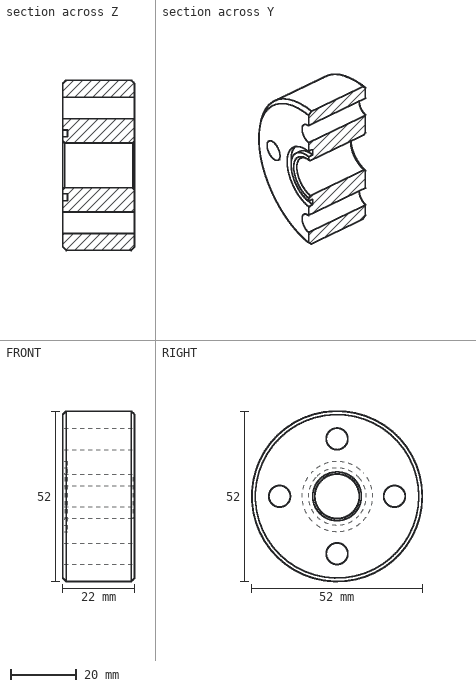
import cadquery as cq

outer_diameter = 52
thickness = 22.0
rim_chamfer = 1.1

bore_diameter = 13.5
bore_chamfer = 0.7

groove_outer_diameter = 21.5
groove_inner_diameter = 17.5
groove_depth = 1.5

bolt_hole_diameter = 6.5
bolt_circle_diameter = 35.0
bolt_hole_count = 4


def make_disc():
    """Disc chamfered on both rims and both bore edges."""
    disc = cq.Workplane("YZ").circle(outer_diameter / 2).extrude(thickness)
    disc = disc.faces("<X or >X").edges().chamfer(rim_chamfer)
    bore = cq.Workplane("YZ").circle(bore_diameter / 2).extrude(thickness)
    disc = disc.cut(bore)
    bore_edges = disc.faces("<X or >X").edges(cq.selectors.RadiusNthSelector(0))
    return bore_edges.chamfer(bore_chamfer)


def make_groove():
    """Ring that cuts the groove into the -X face."""
    return (
        cq.Workplane("YZ")
        .circle(groove_outer_diameter / 2)
        .circle(groove_inner_diameter / 2)
        .extrude(groove_depth)
    )


def make_bolt_holes():
    """Cylinders that cut the bolt holes, the first one on the Y axis."""
    return (
        cq.Workplane("YZ")
        .polarArray(bolt_circle_diameter / 2, 0, 360, bolt_hole_count)
        .circle(bolt_hole_diameter / 2)
        .extrude(thickness)
    )


result = make_disc().cut(make_groove()).cut(make_bolt_holes())